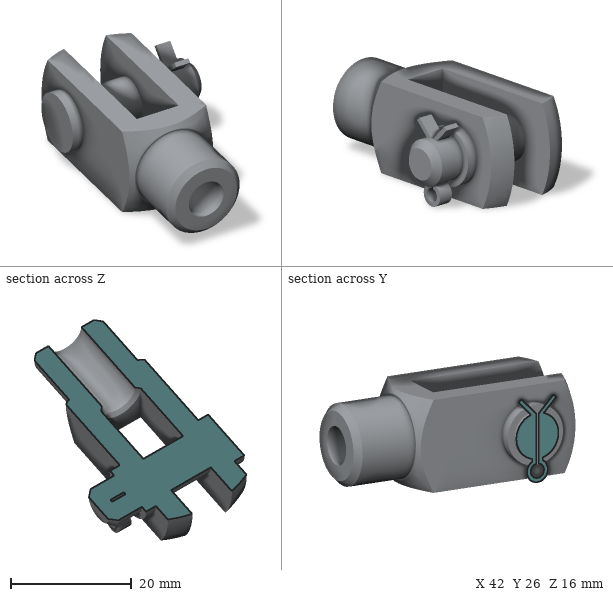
import cadquery as cq
import math

fork_width = 16.0
half_width = fork_width / 2
slot_width = 8.0
slot_end_x = 16.0
fork_tip_x = -10.0
shoulder_x = 21.0
tip_radius = 18.5
shoulder_radius = 7.3
bevel_angle = 36.0
rim_clearance = 1.0

neck_diameter = 14.0
neck_end_x = 32.0
neck_chamfer = 1.1
bore_diameter = 6.65
bore_mouth_diameter = 8.0

pin_diameter = 8.0
collar_diameter = 10.4
collar_thickness = 2.0
pin_end_y = 16.0
pin_chamfer = 1.25

strip_thickness = 0.8
strip_width = 2.66
leg_gap = 0.4
split_pin_y = 12.0
eye_radius = 2.0
eye_center_z = -6.0
leg_angle = 44.0
leg_bend_z = 3.85
leg_length = 4.05


def cylinder_along_y(diameter, y_start, y_end):
    sketch = cq.Workplane("XZ", origin=(0, y_start, 0)).circle(diameter / 2)
    return sketch.extrude(y_start - y_end)


def turned_envelope():
    """Solid of revolution about X that rounds the tips and bevels the rear."""
    corner_radius = fork_width * math.sqrt(2) / 2 + rim_clearance
    slot_half = slot_width / 2
    sphere_center_x = fork_tip_x + math.sqrt(tip_radius**2 - slot_half**2)
    apex_x = sphere_center_x - tip_radius
    mid_radius = corner_radius / 2
    mid_x = sphere_center_x - math.sqrt(tip_radius**2 - mid_radius**2)
    rim_x = sphere_center_x - math.sqrt(tip_radius**2 - corner_radius**2)
    bevel_depth = (corner_radius - shoulder_radius) * math.tan(math.radians(bevel_angle))
    profile = (
        cq.Workplane("XY")
        .moveTo(apex_x, 0)
        .threePointArc((mid_x, mid_radius), (rim_x, corner_radius))
        .lineTo(shoulder_x - bevel_depth, corner_radius)
        .lineTo(shoulder_x, shoulder_radius)
        .lineTo(shoulder_x, 0)
        .close()
    )
    return profile.revolve(360, (0, 0, 0), (1, 0, 0))


def make_fork():
    blank_length = shoulder_x - fork_tip_x + fork_width
    blank = (
        cq.Workplane("YZ", origin=(shoulder_x - blank_length, 0, 0))
        .rect(fork_width, fork_width)
        .extrude(blank_length)
    )
    body = blank.intersect(turned_envelope())
    neck = (
        cq.Workplane("YZ", origin=(slot_end_x, 0, 0))
        .circle(neck_diameter / 2)
        .extrude(neck_end_x - slot_end_x)
        .faces(">X")
        .chamfer(neck_chamfer)
    )
    slot = (
        cq.Workplane("YZ", origin=(slot_end_x, 0, 0))
        .rect(slot_width, 2 * fork_width)
        .extrude(-blank_length)
    )
    bore = (
        cq.Workplane("YZ", origin=(slot_end_x, 0, 0))
        .circle(bore_diameter / 2)
        .extrude(neck_end_x - slot_end_x)
    )
    countersink_depth = (bore_mouth_diameter - bore_diameter) / 2
    countersink = (
        cq.Workplane("YZ", origin=(slot_end_x, 0, 0))
        .circle(bore_mouth_diameter / 2)
        .workplane(offset=countersink_depth)
        .circle(bore_diameter / 2)
        .loft()
    )
    return body.union(neck).cut(slot).cut(bore).cut(countersink)


def make_pin():
    shaft = cylinder_along_y(pin_diameter, -half_width, pin_end_y)
    shaft = shaft.faces(">Y").chamfer(pin_chamfer)
    head = cylinder_along_y(collar_diameter, -half_width - collar_thickness, -half_width)
    washer = cylinder_along_y(collar_diameter, half_width, half_width + collar_thickness)
    return shaft.union(head).union(washer)


def split_pin_plane():
    return cq.Workplane("XZ", origin=(0, split_pin_y + strip_width / 2, 0))


def leg_start_z(x):
    """Height of the middle circle of the eye at a distance x from its axis."""
    middle_radius = eye_radius - strip_thickness / 2
    return eye_center_z + math.sqrt(middle_radius**2 - x**2)


def make_leg(side):
    """One leg from the eye up through the clevis pin; side is -1 or 1 along X."""
    angle = math.radians(leg_angle)
    inner_x = leg_gap / 2
    outer_x = inner_x + strip_thickness
    bend_drop = strip_thickness * math.tan(angle / 2)
    tip_x = inner_x + leg_length * math.sin(angle)
    tip_z = leg_bend_z + leg_length * math.cos(angle)
    outline = [
        (inner_x, leg_start_z(inner_x)),
        (inner_x, leg_bend_z),
        (tip_x, tip_z),
        (tip_x + strip_thickness * math.cos(angle), tip_z - strip_thickness * math.sin(angle)),
        (outer_x, leg_bend_z - bend_drop),
        (outer_x, leg_start_z(outer_x)),
    ]
    points = [(side * x, z) for x, z in outline]
    return split_pin_plane().polyline(points).close().extrude(strip_width)


def make_eye():
    ring = (
        split_pin_plane()
        .center(0, eye_center_z)
        .circle(eye_radius)
        .circle(eye_radius - strip_thickness)
        .extrude(strip_width)
    )
    return ring.cut(leg_opening())


def leg_opening():
    """Gap between the legs, from the middle of the eye to above the bends."""
    height = leg_bend_z + leg_length - eye_center_z
    return (
        split_pin_plane()
        .center(0, eye_center_z + height / 2)
        .rect(leg_gap, height)
        .extrude(strip_width)
    )


def spread_opening():
    """Wedge of the clevis pin removed between the bent legs."""
    reach_x = leg_gap / 2 + leg_length * math.sin(math.radians(leg_angle))
    tip_z = leg_bend_z + leg_length * math.cos(math.radians(leg_angle))
    points = [
        (-leg_gap / 2, leg_bend_z),
        (-reach_x, tip_z),
        (reach_x, tip_z),
        (leg_gap / 2, leg_bend_z),
    ]
    return split_pin_plane().polyline(points).close().extrude(strip_width)


result = make_fork().union(make_pin())
result = result.cut(leg_opening()).cut(spread_opening())
result = result.union(make_eye()).union(make_leg(-1)).union(make_leg(1))